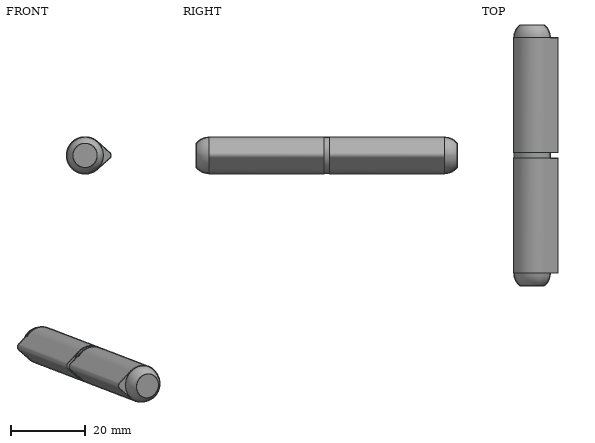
import cadquery as cq
import math

total_length = 70.0
barrel_diameter = 10.0
total_width = 12.0
lip_radius = 1.05
pin_diameter = 9.8
end_flat_diameter = 6.5
dome_length = 3.4
barrel_gap = 1.5

barrel_radius = barrel_diameter / 2
pin_radius = pin_diameter / 2
end_flat_radius = end_flat_diameter / 2
half_length = total_length / 2
shoulder = half_length - dome_length
barrel_length = shoulder - barrel_gap / 2
lip_center = total_width - barrel_radius - lip_radius

dome_inset = pin_radius - end_flat_radius
dome_radius = (dome_inset**2 + dome_length**2) / (2 * dome_inset)
dome_half_angle = math.asin(dome_length / dome_radius) / 2
dome_mid_radius = pin_radius - dome_radius * (1 - math.cos(dome_half_angle))
dome_mid_height = shoulder + dome_radius * math.sin(dome_half_angle)


def make_pin():
    """Round pin with a domed, flat-tipped end on both sides."""
    return (
        cq.Workplane("XY")
        .moveTo(0, -half_length)
        .lineTo(end_flat_radius, -half_length)
        .threePointArc((dome_mid_radius, -dome_mid_height), (pin_radius, -shoulder))
        .lineTo(pin_radius, shoulder)
        .threePointArc((dome_mid_radius, dome_mid_height), (end_flat_radius, half_length))
        .lineTo(0, half_length)
        .close()
        .revolve(360, (0, 0, 0), (0, 1, 0))
    )


def make_barrel(y_start):
    """Teardrop barrel: large round joined to the small lip round by tangent flats."""
    tangent_angle = math.acos((barrel_radius - lip_radius) / lip_center)
    tangent_x = math.cos(tangent_angle)
    tangent_z = math.sin(tangent_angle)
    barrel_x = barrel_radius * tangent_x
    barrel_z = barrel_radius * tangent_z
    lip_x = lip_center + lip_radius * tangent_x
    lip_z = lip_radius * tangent_z
    return (
        cq.Workplane("XZ", origin=(0, y_start, 0))
        .moveTo(barrel_x, barrel_z)
        .threePointArc((-barrel_radius, 0), (barrel_x, -barrel_z))
        .lineTo(lip_x, -lip_z)
        .threePointArc((lip_center + lip_radius, 0), (lip_x, lip_z))
        .close()
        .extrude(-barrel_length)
    )


result = make_pin()
for barrel_start in (-shoulder, barrel_gap / 2):
    result = result.union(make_barrel(barrel_start))